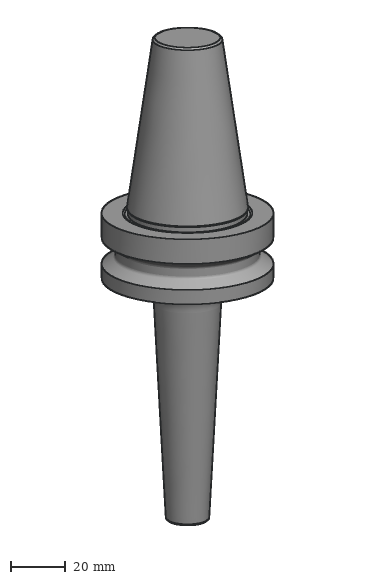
import cadquery as cq
import math

total_height = 185.4
gauge_height = 120.0
flange_top = 118.0
flange_bottom = 92.9

gauge_radius = 22.2
taper_slope = 7 / 48
shank_top_radius = gauge_radius - taper_slope * (total_height - gauge_height)
shank_chamfer = 0.7

relief_radius = 21.9
relief_outer_radius = 23.7
relief_floor_radius = 23.0
relief_depth = 0.4
relief_step = 0.5

flange_radius = 31.5
groove_floor_radius = 26.5
groove_upper_edge = 108.5
groove_lower_edge = 98.5
groove_wall_angle = 30.0
groove_wall_height = (flange_radius - groove_floor_radius) * math.tan(math.radians(groove_wall_angle))
groove_corner_fillet = 1.1

nose_tip_radius = 8.0
nose_angle = math.radians(3.0)
nose_chamfer = 0.7
blend_radius = 9.0
blend_center_height = flange_bottom - blend_radius
blend_center_radius = (
    nose_tip_radius + blend_center_height * math.tan(nose_angle) + blend_radius / math.cos(nose_angle)
)


def blend_point(angle):
    """Point (radius, height) on the nose blend arc, angle above the inward radial direction."""
    return (
        blend_center_radius - blend_radius * math.cos(angle),
        blend_center_height + blend_radius * math.sin(angle),
    )


def make_body():
    """Revolve the half profile of nose, flange and shank about Z."""
    profile = (
        cq.Workplane("XZ")
        .moveTo(0, 0)
        .lineTo(nose_tip_radius - nose_chamfer, 0)
        .lineTo(nose_tip_radius + nose_chamfer * math.tan(nose_angle), nose_chamfer)
        .lineTo(*blend_point(-nose_angle))
        .threePointArc(blend_point(math.pi / 4), blend_point(math.pi / 2))
        .lineTo(flange_radius, flange_bottom)
        .lineTo(flange_radius, flange_top)
        .lineTo(relief_outer_radius, flange_top)
        .lineTo(relief_floor_radius, flange_top - relief_depth)
        .lineTo(relief_radius, flange_top - relief_depth)
        .lineTo(relief_radius, gauge_height - relief_step)
        .lineTo(gauge_radius, gauge_height)
        .lineTo(shank_top_radius + taper_slope * shank_chamfer, total_height - shank_chamfer)
        .lineTo(shank_top_radius - shank_chamfer, total_height)
        .lineTo(0, total_height)
        .close()
    )
    return profile.revolve(360, (0, 0, 0), (0, 1, 0))


def make_groove():
    """Ring that cuts the gripper groove, with rounded floor corners."""
    ring = (
        cq.Workplane("XZ")
        .moveTo(flange_radius, groove_lower_edge)
        .lineTo(groove_floor_radius, groove_lower_edge + groove_wall_height)
        .lineTo(groove_floor_radius, groove_upper_edge - groove_wall_height)
        .lineTo(flange_radius, groove_upper_edge)
        .close()
        .revolve(360, (0, 0, 0), (0, 1, 0))
    )
    floor_corners = cq.selectors.RadiusNthSelector(0)
    return ring.edges(floor_corners).fillet(groove_corner_fillet)


result = make_body().cut(make_groove())